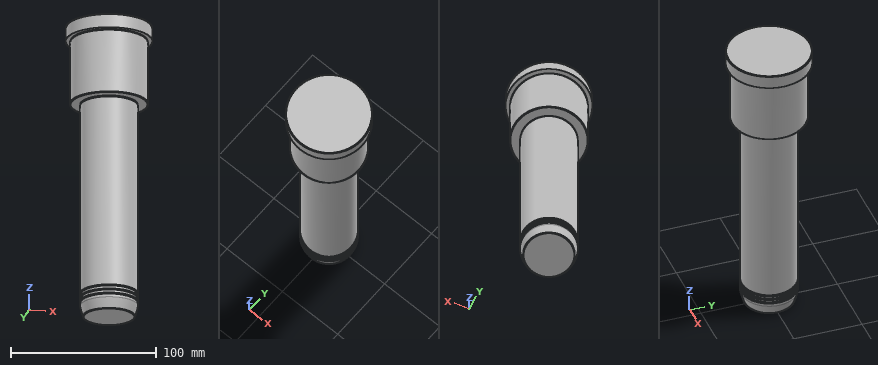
import cadquery as cq

total_length = 211.0
head_diameter = 60.0
head_height = 10.0
edge_chamfer = 0.5

shoulder_diameter = 54.0
shoulder_length = 46.2

shank_diameter = 40.0

groove_width = 1.0
groove_depth = 0.5
shank_neck_depth = 0.2

groove_count = 3
groove_land = 2 * groove_width

tip_length = 8.0
tip_end_diameter = 35.9
tip_bulge = 0.2

head_radius = head_diameter / 2
shoulder_radius = shoulder_diameter / 2
shank_radius = shank_diameter / 2
tip_radius = tip_end_diameter / 2
head_bottom = total_length - head_height
shoulder_bottom = head_bottom - shoulder_length


def solid_pin():
    """Revolve the half outline of the pin about its Z axis."""
    tip_middle_radius = (tip_radius + shank_radius) / 2 + tip_bulge
    tip_middle_height = (edge_chamfer + tip_length) / 2
    outline = (
        cq.Workplane("XZ")
        .lineTo(tip_radius - edge_chamfer, 0)
        .lineTo(tip_radius, edge_chamfer)
        .threePointArc((tip_middle_radius, tip_middle_height), (shank_radius, tip_length))
        .lineTo(shank_radius, shoulder_bottom)
        .lineTo(shoulder_radius - edge_chamfer, shoulder_bottom)
        .lineTo(shoulder_radius, shoulder_bottom + edge_chamfer)
        .lineTo(shoulder_radius, head_bottom)
        .lineTo(head_radius, head_bottom)
        .lineTo(head_radius, total_length - edge_chamfer)
        .lineTo(head_radius - edge_chamfer, total_length)
        .lineTo(0, total_length)
        .close()
    )
    return outline.revolve(360, (0, 0, 0), (0, 1, 0))


def ring_groove(outer_radius, depth, bottom):
    """Cutting ring whose lower half slopes in and whose upper half is straight."""
    floor_radius = outer_radius - depth
    section = (
        cq.Workplane("XZ")
        .moveTo(outer_radius, bottom)
        .lineTo(floor_radius, bottom + groove_width / 2)
        .lineTo(floor_radius, bottom + groove_width)
        .lineTo(outer_radius, bottom + groove_width)
        .close()
    )
    return section.revolve(360, (0, 0, 0), (0, 1, 0))


result = solid_pin()

result = result.cut(ring_groove(shoulder_radius, groove_depth, head_bottom - groove_width))
result = result.cut(ring_groove(shank_radius, shank_neck_depth, shoulder_bottom - groove_width))

for index in range(groove_count):
    groove_bottom = tip_length + groove_land + index * (groove_width + groove_land)
    result = result.cut(ring_groove(shank_radius, groove_depth, groove_bottom))